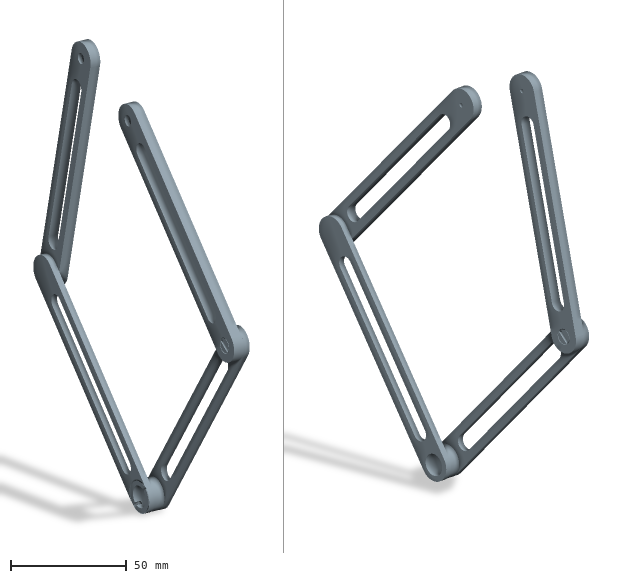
import cadquery as cq
import math

ARM_LENGTH = 110.0
ARM_WIDTH = 15.1
THIN = 3.0
THICK = 5.0
WINDOW_WIDTH = ARM_WIDTH / 2
WINDOW_INSET = ARM_WIDTH

FRONT_ANGLE = 133.8
BACK_ANGLE = 55.3
UPPER_LEFT_ANGLE = 76.6
UPPER_RIGHT_ANGLE = 133.9

MOUNT_BORE = 2.0
MOUNT_COUNTERBORE = 5.0
MOUNT_COUNTERBORE_DEPTH = 2

PIN_DIAMETER = 5.0
PIN_HOLE = 5.5
PIN_HEAD = 6.6
PIN_SINK = 7.3
PIN_HEAD_HEIGHT = 1.6
PIN_SLOT_WIDTH = 1.6
PIN_SLOT_DEPTH = 3.0

SPACER_DIAMETER = 15.0
TUBE_DIAMETER = 11.5
TUBE_HOLE = 12
TUBE_BORE = 10
TUBE_HEAD = 14.3
TUBE_SINK = 15.5
TUBE_HEAD_HEIGHT = 1.6
TUBE_SLOT_WIDTH = 1.6
TUBE_SLOT_DEPTH = THIN

FRONT_FACE = 0
UPPER_FACE = FRONT_FACE + THIN
BACK_FACE = UPPER_FACE + THICK


def point_along(start, angle, distance):
    """Point (x, z) at a distance from start in the given direction."""
    turn = math.radians(angle)
    return (start[0] + distance * math.cos(turn), start[1] + distance * math.sin(turn))


LOWER_PIVOT = (0, 0)
LEFT_PIVOT = point_along(LOWER_PIVOT, FRONT_ANGLE, ARM_LENGTH)
RIGHT_PIVOT = point_along(LOWER_PIVOT, BACK_ANGLE, ARM_LENGTH)


def cylinder(centre, diameter, y, depth):
    """Cylinder along Y from y to y + depth."""
    base, axis = cq.Vector(centre[0], y, centre[1]), cq.Vector(0, 1, 0)
    return cq.Workplane(cq.Solid.makeCylinder(diameter / 2, depth, base, axis))


def cone(centre, start_diameter, end_diameter, y, depth):
    """Cone along Y, with its start diameter at y and its end diameter at y + depth."""
    base, axis = cq.Vector(centre[0], y, centre[1]), cq.Vector(0, 1, 0)
    return cq.Workplane(cq.Solid.makeCone(start_diameter / 2, end_diameter / 2, depth, base, axis))


def bar(centre, angle, length, width, y, depth, round_ends=True):
    """Straight bar lying in the XZ plane, extruded from y to y + depth."""
    sketch = cq.Workplane("XZ")
    outline = sketch.slot2D(length, width) if round_ends else sketch.rect(length, width)
    solid = outline.extrude(-depth).rotate((0, 0, 0), (0, 1, 0), -angle)
    return solid.translate((centre[0], y, centre[1]))


def windowed_arm(start, angle, y, thickness):
    """Round-ended arm with one long window along its middle."""
    middle = point_along(start, angle, ARM_LENGTH / 2)
    window_length = ARM_LENGTH - 2 * WINDOW_INSET + WINDOW_WIDTH
    plate = bar(middle, angle, ARM_LENGTH + ARM_WIDTH, ARM_WIDTH, y, thickness)
    return plate.cut(bar(middle, angle, window_length, WINDOW_WIDTH, y, thickness))


def snap_hole(centre, diameter, sink, sink_depth, y, depth):
    """Through hole with a countersink opening towards -Y."""
    return cylinder(centre, diameter, y, depth).union(cone(centre, sink, diameter, y, sink_depth))


def snap_stud(centre, diameter, head, head_height, y, depth):
    """Stud with a conical head widest at its -Y end."""
    return cylinder(centre, diameter, y, depth).union(cone(centre, head, diameter, y, head_height))


def snap_pin(centre, angle):
    """Split pin filling the depth of an upper arm, head towards -Y."""
    stud = snap_stud(centre, PIN_DIAMETER, PIN_HEAD, PIN_HEAD_HEIGHT, UPPER_FACE, THICK)
    return stud.cut(bar(centre, angle, PIN_HEAD, PIN_SLOT_WIDTH, UPPER_FACE, PIN_SLOT_DEPTH, False))


def pin_hole(centre):
    """Countersunk hole through an upper arm."""
    return snap_hole(centre, PIN_HOLE, PIN_SINK, PIN_HEAD_HEIGHT, UPPER_FACE, THICK)


def mirrored_in_y(solid):
    """Solid turned front to back about the middle of the upper arms."""
    return solid.mirror("XZ", (0, UPPER_FACE + THICK / 2, 0))


def make_upper_arm(pivot, angle, hole):
    """Thick arm with a pivot hole at one end and a mounting hole at the other."""
    mount = point_along(pivot, angle, ARM_LENGTH)
    arm = windowed_arm(pivot, angle, UPPER_FACE, THICK).cut(hole)
    arm = arm.cut(cylinder(mount, MOUNT_BORE, UPPER_FACE, THICK))
    return arm.cut(cylinder(mount, MOUNT_COUNTERBORE, UPPER_FACE, MOUNT_COUNTERBORE_DEPTH))


def make_front_arm():
    """Thin arm with a countersunk hole for the tube and a pin pointing towards +Y."""
    arm = windowed_arm(LOWER_PIVOT, FRONT_ANGLE, FRONT_FACE, THIN)
    arm = arm.cut(snap_hole(LOWER_PIVOT, TUBE_HOLE, TUBE_SINK, TUBE_HEAD_HEIGHT, FRONT_FACE, THIN))
    return arm.union(mirrored_in_y(snap_pin(LEFT_PIVOT, FRONT_ANGLE + 90)))


def make_back_arm():
    """Thin arm with a spacer and split tube at one end and a split pin at the other."""
    arm = windowed_arm(LOWER_PIVOT, BACK_ANGLE, BACK_FACE, THIN)
    spacer = cylinder(LOWER_PIVOT, SPACER_DIAMETER, UPPER_FACE, THICK)
    tube = snap_stud(LOWER_PIVOT, TUBE_DIAMETER, TUBE_HEAD, TUBE_HEAD_HEIGHT, FRONT_FACE, THIN)
    slot = bar(LOWER_PIVOT, BACK_ANGLE, TUBE_HEAD, TUBE_SLOT_WIDTH, FRONT_FACE, TUBE_SLOT_DEPTH, False)
    bore = cylinder(LOWER_PIVOT, TUBE_BORE, FRONT_FACE, BACK_FACE + THIN)
    hub = spacer.union(tube).cut(bore).cut(slot)
    arm = arm.cut(bore).union(hub)
    return arm.union(snap_pin(RIGHT_PIVOT, BACK_ANGLE + 90))


front_arm = make_front_arm()
back_arm = make_back_arm()
upper_left_arm = make_upper_arm(LEFT_PIVOT, UPPER_LEFT_ANGLE, mirrored_in_y(pin_hole(LEFT_PIVOT)))
upper_right_arm = make_upper_arm(RIGHT_PIVOT, UPPER_RIGHT_ANGLE, pin_hole(RIGHT_PIVOT))

bodies = [front_arm, back_arm, upper_left_arm, upper_right_arm]
result = cq.Compound.makeCompound([body.solids().val() for body in bodies])